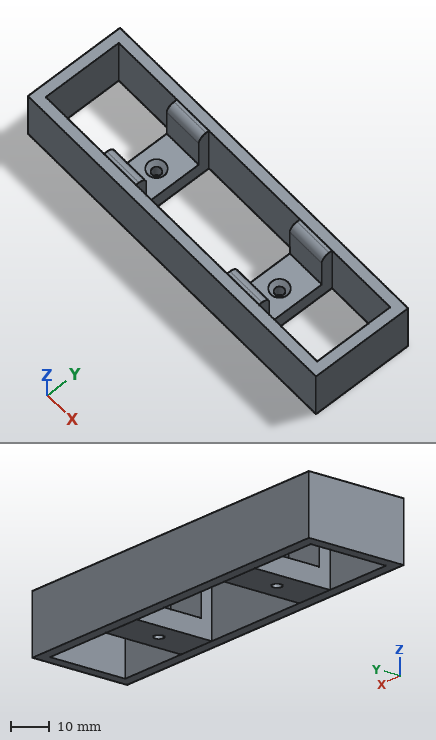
import cadquery as cq

FRAME_LENGTH = 112.5
FRAME_WIDTH = 31.4
FRAME_HEIGHT = 18.3
WALL = 3.3

BRACKET_WIDTH = 12.5
BRACKET_SPACING = 48.0
BRACKET_HEIGHT = FRAME_HEIGHT
FLANGE_THICKNESS = 3.5
FLOOR_THICKNESS = 5.5
FLANGE_ROUND = 2.5

SCREW_DIAMETER = 2.9
COUNTERSINK_DIAMETER = 5.7
COUNTERSINK_ANGLE = 90.0

OPENING_LENGTH = FRAME_LENGTH - 2 * WALL
OPENING_WIDTH = FRAME_WIDTH - 2 * WALL
CHANNEL_WIDTH = OPENING_WIDTH - 2 * FLANGE_THICKNESS


def make_frame():
    """Closed rectangular ring standing on Z = 0."""
    return (
        cq.Workplane("XY")
        .rect(FRAME_LENGTH, FRAME_WIDTH)
        .rect(OPENING_LENGTH, OPENING_WIDTH)
        .extrude(FRAME_HEIGHT)
    )


def make_bracket(center_x):
    """U-shaped bracket with rounded inner flange tips and a countersunk floor hole."""
    block = cq.Workplane("XY").box(
        BRACKET_WIDTH, OPENING_WIDTH, BRACKET_HEIGHT, centered=(True, True, False)
    )
    channel = (
        cq.Workplane("XY", origin=(0, 0, FLOOR_THICKNESS))
        .rect(BRACKET_WIDTH, CHANNEL_WIDTH)
        .extrude(BRACKET_HEIGHT - FLOOR_THICKNESS)
    )
    bracket = block.cut(channel)

    tips = cq.selectors.BoxSelector(
        (-BRACKET_WIDTH, -CHANNEL_WIDTH / 2 - FLANGE_ROUND / 2, BRACKET_HEIGHT - FLANGE_ROUND / 2),
        (BRACKET_WIDTH, CHANNEL_WIDTH / 2 + FLANGE_ROUND / 2, BRACKET_HEIGHT + FLANGE_ROUND / 2),
    )
    bracket = bracket.edges("|X").edges(tips).fillet(FLANGE_ROUND)

    return (
        bracket.copyWorkplane(cq.Workplane("XY", origin=(0, 0, FLOOR_THICKNESS)))
        .cskHole(SCREW_DIAMETER, COUNTERSINK_DIAMETER, COUNTERSINK_ANGLE)
        .translate((center_x, 0, 0))
    )


frame = make_frame()
brackets = [make_bracket(side * BRACKET_SPACING / 2) for side in (-1, 1)]

result = cq.Compound.makeCompound([frame.val(), *[bracket.val() for bracket in brackets]])